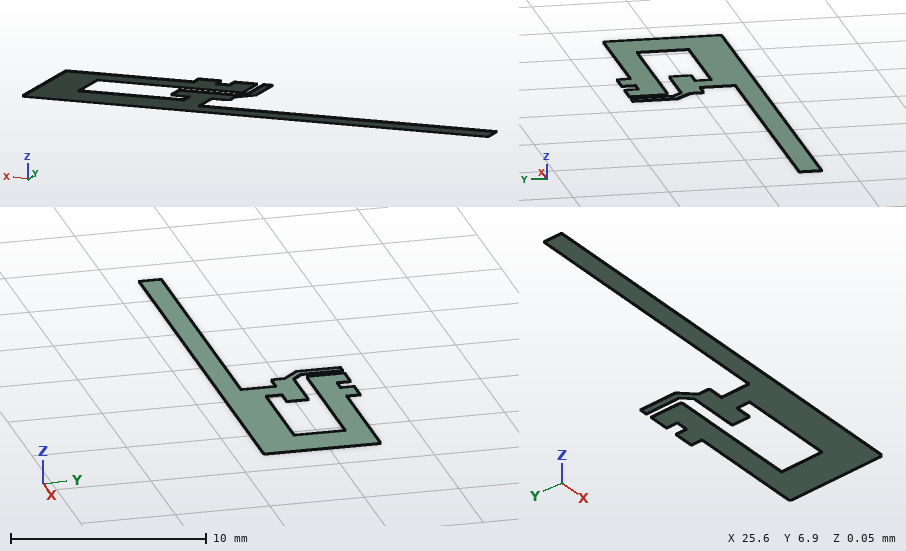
import cadquery as cq

length = 25.58
width = 6.9
thickness = 0.05

strip_width = 1.18
post_left = 16.35
post_width = 1.23
post_right = post_left + post_width

pad_left = 15.37
pad_right = 18.57
pad_bottom = 3.02
pad_top = 4.17

thin_arm_left = 14.53
thin_arm_width = 0.45
thin_arm_right = thin_arm_left + thin_arm_width
outer_bend_y = 4.58
inner_bend_y = 4.7
outer_bend_run = pad_left - thin_arm_left
inner_bend_run = inner_bend_y - pad_top

window_right = 23.35
window_bottom = 2.17

arm_bottom = 4.89
arm_top = 6.2
tooth_width = 1.23
tooth_gap = pad_right - pad_left - 2 * tooth_width
first_tooth_right = pad_left + tooth_width
second_tooth_left = first_tooth_right + tooth_gap

corner_radius = 0.13

outline = [
    (0, 0),
    (length, 0),
    (length, arm_top),
    (pad_right, arm_top),
    (pad_right, width),
    (second_tooth_left, width),
    (second_tooth_left, arm_top),
    (first_tooth_right, arm_top),
    (first_tooth_right, width),
    (pad_left, width),
    (pad_left, arm_bottom),
    (window_right, arm_bottom),
    (window_right, window_bottom),
    (post_right, window_bottom),
    (post_right, pad_bottom),
    (pad_right, pad_bottom),
    (pad_right, pad_top),
    (thin_arm_right + inner_bend_run, pad_top),
    (thin_arm_right, inner_bend_y),
    (thin_arm_right, width),
    (thin_arm_left, width),
    (thin_arm_left, outer_bend_y),
    (pad_left, outer_bend_y - outer_bend_run),
    (pad_left, pad_bottom),
    (post_left, pad_bottom),
    (post_left, strip_width),
    (0, strip_width),
]

plate = cq.Workplane("XY").polyline(outline).close().extrude(thickness)

rounded_corners = [
    (length, 0),
    (length, arm_top),
    (pad_left, arm_bottom),
    (pad_left, pad_bottom),
]
for x, y in rounded_corners:
    corner_edge = cq.selectors.NearestToPointSelector((x, y, thickness / 2))
    plate = plate.edges("|Z").edges(corner_edge).fillet(corner_radius)

result = plate